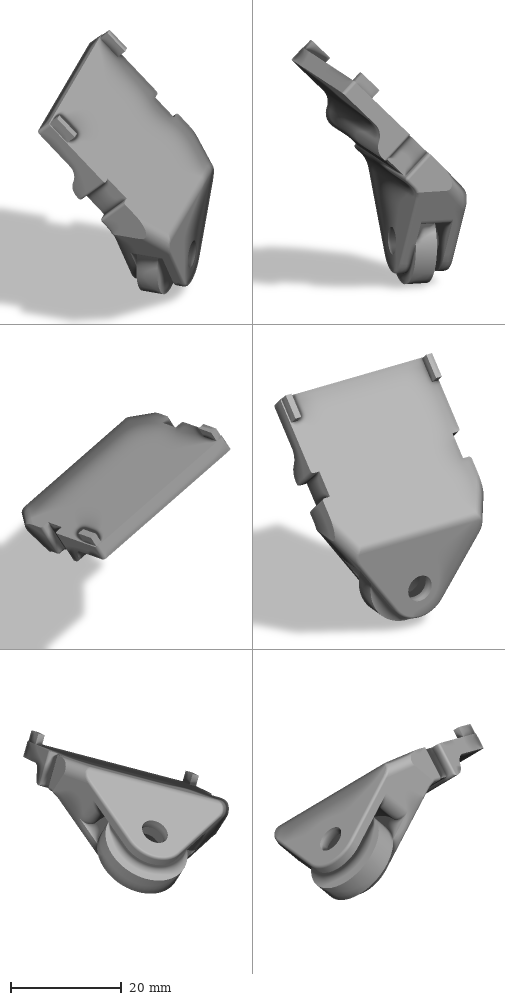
import cadquery as cq
import math


WIDTH = 31.75
DEPTH = 10.0
BEND_HEIGHT = 12.0
LEAF_THICKNESS = 3.0
ROOT_THICKNESS = 6.5
LEAF_TIP_X = -14.2
SWELL_START = 8.65
SWELL_RADIUS = 3.0
BEND_RADIUS = 3.0
EDGE_RADIUS = 2.0
RIM_RADIUS = 0.5
TIP_CORNER_RADIUS = 0.6

GROOVE_START = 15.05
GROOVE_LENGTH = 5.0
GROOVE_SIDE_DEPTH = 1.65
GROOVE_UNDER_DEPTH = 0.55

TAB_START = 0.2
TAB_LENGTH = 4.68
TAB_WIDTH = 1.25
TAB_HEIGHT = 2.0
TAB_INSET = 0.25

FORK_TIP_RADIUS = 6.0
CHEEK_THICKNESS = 2.0
SLOT_RADIUS = 10.0
SLOT_LIP_RADIUS = 2.0
BORE_DIAMETER = 5.0
WHEEL_DIAMETER = 16.0
WHEEL_THICKNESS = 4.0

HALF_WIDTH = WIDTH / 2
WIDE_HALF_WIDTH = HALF_WIDTH + 6.38
SLOPE = math.sqrt(0.5)
TOP_SUM = BEND_HEIGHT + ROOT_THICKNESS / SLOPE
TIP_TOP_X = LEAF_TIP_X + LEAF_THICKNESS * SLOPE
TIP_TOP_Z = TOP_SUM - TIP_TOP_X
BAND_SIZE = 127.55
TOLERANCE = 0.005
CLEARANCE = 0.43


def on_leaf(along, under):
    """XZ point at a distance down the slope from the tip and below the upper face."""
    return (TIP_TOP_X + (along - under) * SLOPE, TIP_TOP_Z - (along + under) * SLOPE)


def prism(outline, y_start, y_end):
    """Extrude a closed XZ outline between two Y positions."""
    return outline.close().extrude(y_start - y_end).translate((0, y_start, 0))


def leaf_block(start, length, top, bottom, y_start, y_end):
    """Box aligned with the sloping leaf."""
    corners = [on_leaf(start, top), on_leaf(start + length, top),
               on_leaf(start + length, bottom), on_leaf(start, bottom)]
    return prism(cq.Workplane("XZ").polyline(corners), y_start, y_end)


def side_profile():
    """Bracket side shape: thin leaf, S-shaped swelling, bend and vertical fork."""
    half_rise = (ROOT_THICKNESS - LEAF_THICKNESS) / 2
    sweep = math.acos(1 - half_rise / SWELL_RADIUS)
    half_run = SWELL_RADIUS * math.sin(sweep)
    mid_run = SWELL_RADIUS * math.sin(sweep / 2)
    mid_rise = SWELL_RADIUS * (1 - math.cos(sweep / 2))
    swell_end = SWELL_START + 2 * half_run
    outline = (
        cq.Workplane("XZ")
        .moveTo(*on_leaf(0, 0))
        .lineTo(*on_leaf(0, LEAF_THICKNESS))
        .lineTo(*on_leaf(SWELL_START, LEAF_THICKNESS))
        .threePointArc(on_leaf(SWELL_START + mid_run, LEAF_THICKNESS + mid_rise),
                       on_leaf(SWELL_START + half_run, LEAF_THICKNESS + half_rise))
        .threePointArc(on_leaf(swell_end - mid_run, ROOT_THICKNESS - mid_rise),
                       on_leaf(swell_end, ROOT_THICKNESS))
        .lineTo(0, BEND_HEIGHT)
        .lineTo(0, -FORK_TIP_RADIUS)
        .lineTo(DEPTH, -FORK_TIP_RADIUS)
        .lineTo(DEPTH, TOP_SUM - DEPTH)
    )
    return prism(outline, -WIDE_HALF_WIDTH, WIDE_HALF_WIDTH)


def taper_angle():
    """Angle from the Y axis to the outward normal of the taper; negative as it faces down."""
    reach = math.hypot(HALF_WIDTH, BEND_HEIGHT)
    return math.atan2(BEND_HEIGHT, HALF_WIDTH) - math.acos(FORK_TIP_RADIUS / reach)


def taper_y(z):
    """Half width of the tapering fork at a height."""
    return HALF_WIDTH + min(0, z - BEND_HEIGHT) * -math.tan(taper_angle())


def taper_z(y):
    """Height at which the extended taper reaches a half width."""
    return BEND_HEIGHT + (y - HALF_WIDTH) / -math.tan(taper_angle())


def leaf_position(point):
    """Distances of a point down the slope from the tip and below the upper face."""
    across = point.x - TIP_TOP_X
    drop = TIP_TOP_Z - point.z
    return (across + drop) * SLOPE, (drop - across) * SLOPE


def fork_outline():
    """Over-wide outline in YZ, tapering along tangents to the rounded fork tip."""
    tangent_y = FORK_TIP_RADIUS * math.cos(taper_angle())
    tangent_z = FORK_TIP_RADIUS * math.sin(taper_angle())
    top = TIP_TOP_Z + CLEARANCE
    wide_z = taper_z(WIDE_HALF_WIDTH)
    return (
        cq.Workplane("YZ", origin=(LEAF_TIP_X - CLEARANCE, 0, 0))
        .moveTo(-WIDE_HALF_WIDTH, top)
        .lineTo(-WIDE_HALF_WIDTH, wide_z)
        .lineTo(-tangent_y, tangent_z)
        .threePointArc((0, -FORK_TIP_RADIUS), (tangent_y, tangent_z))
        .lineTo(WIDE_HALF_WIDTH, wide_z)
        .lineTo(WIDE_HALF_WIDTH, top)
        .close()
        .extrude(DEPTH - LEAF_TIP_X + 2 * CLEARANCE)
    )


def nearest_edge(body, point):
    """Edge of the body whose middle is closest to the given point."""
    target = cq.Vector(*point)
    return min(body.edges().vals(), key=lambda edge: (edge.positionAt(0.5) - target).Length)


def groove_cutter():
    """Groove around the underside and both sides of the leaf."""
    cutter = leaf_block(GROOVE_START, GROOVE_LENGTH, ROOT_THICKNESS - GROOVE_UNDER_DEPTH,
                        ROOT_THICKNESS + CLEARANCE, -HALF_WIDTH, HALF_WIDTH)
    for side in (-1, 1):
        inner = side * (HALF_WIDTH - GROOVE_SIDE_DEPTH)
        outer = side * (HALF_WIDTH + CLEARANCE)
        notch = leaf_block(GROOVE_START, GROOVE_LENGTH, -CLEARANCE, ROOT_THICKNESS + CLEARANCE,
                           min(inner, outer), max(inner, outer))
        cutter = cutter.union(notch)
    return cutter


def wheel_slot():
    """Round wheel clearance that flares out over rounded lips on the tapering sides."""
    slot_width = DEPTH - 2 * CHEEK_THICKNESS
    angle = taper_angle()
    lip_offset = FORK_TIP_RADIUS - SLOT_LIP_RADIUS
    lip_reach = SLOT_RADIUS + SLOT_LIP_RADIUS
    lip_angle = angle + math.acos(lip_offset / lip_reach)
    lip_y = lip_reach * math.cos(lip_angle)
    lip_z = lip_reach * math.sin(lip_angle)
    touch_y = SLOT_RADIUS * math.cos(lip_angle)
    touch_z = SLOT_RADIUS * math.sin(lip_angle)
    side_y = lip_y + SLOT_LIP_RADIUS * math.cos(angle)
    side_z = lip_z + SLOT_LIP_RADIUS * math.sin(angle)
    middle = (lip_angle + angle + 3 * math.pi) / 2
    low_y = lip_y + SLOT_LIP_RADIUS * math.cos(middle)
    low_z = lip_z + SLOT_LIP_RADIUS * math.sin(middle)
    floor = -FORK_TIP_RADIUS - CLEARANCE
    return (
        cq.Workplane("YZ", origin=(CHEEK_THICKNESS, 0, 0))
        .moveTo(-side_y, floor)
        .lineTo(-side_y, side_z)
        .threePointArc((-low_y, low_z), (-touch_y, touch_z))
        .threePointArc((0, SLOT_RADIUS), (touch_y, touch_z))
        .threePointArc((low_y, low_z), (side_y, side_z))
        .lineTo(side_y, floor)
        .close()
        .extrude(slot_width)
    )


def bore(start, length):
    """Cylinder along the wheel axis for the axle hole."""
    return (cq.Workplane("YZ", origin=(start, 0, 0))
            .circle(BORE_DIAMETER / 2).extrude(length))


def blank():
    """Tapered leaf and fork with the bends and upper edges rounded, trimmed to width."""
    body = side_profile().intersect(fork_outline())
    body = body.newObject([nearest_edge(body, (0, 0, BEND_HEIGHT))]).fillet(BEND_RADIUS)

    back_z = TOP_SUM - DEPTH
    back_y = taper_y(back_z)
    wide_z = taper_z(WIDE_HALF_WIDTH)
    upper_edges = [nearest_edge(body, (DEPTH, 0, back_z))]
    for side in (-1, 1):
        middle = ((DEPTH + TOP_SUM - wide_z) / 2, side * (back_y + WIDE_HALF_WIDTH) / 2,
                  (back_z + wide_z) / 2)
        upper_edges.append(nearest_edge(body, middle))
    body = body.newObject(upper_edges).fillet(EDGE_RADIUS)
    return body.intersect(leaf_band())


def leaf_band():
    """Slab that limits the bracket to its full width."""
    return cq.Workplane("XY").box(BAND_SIZE, WIDTH, BAND_SIZE)


def is_rim(edge):
    """True for the outline edges of the fork faces, the lower leaf and the groove."""
    middle = edge.positionAt(0.5)
    along, under = leaf_position(middle)
    on_outline = abs(middle.y) > taper_y(middle.z) - TOLERANCE or middle.z < -TOLERANCE
    on_side = abs(middle.y) > HALF_WIDTH - TOLERANCE
    on_fork_face = min(abs(middle.x), abs(middle.x - DEPTH)) < TOLERANCE
    groove_end = GROOVE_START + GROOVE_LENGTH
    at_wall = min(abs(along - GROOVE_START), abs(along - groove_end)) < TOLERANCE
    on_underside = abs(under - ROOT_THICKNESS) < TOLERANCE
    below_groove = along > groove_end + TOLERANCE
    in_bend = -BEND_RADIUS / 2 < middle.x < 0 and abs(middle.z - BEND_HEIGHT) < BEND_RADIUS / 2
    return (
        (on_fork_face and on_outline)
        or (at_wall and (on_side or on_underside))
        or (on_side and on_underside and below_groove)
        or (in_bend and on_outline and edge.geomType() != "LINE")
    )


def bracket():
    """Finished bracket with its groove, rounded rims, wheel slot, axle hole and tabs."""
    body = blank().cut(groove_cutter())
    rims = [edge for edge in body.edges().vals() if is_rim(edge)]
    body = body.newObject(rims).fillet(RIM_RADIUS)
    tip_x, tip_z = on_leaf(0, LEAF_THICKNESS / 2)
    tip_corners = [nearest_edge(body, (tip_x, side * HALF_WIDTH, tip_z)) for side in (-1, 1)]
    body = body.newObject(tip_corners).fillet(TIP_CORNER_RADIUS)
    body = body.cut(wheel_slot()).cut(bore(0, DEPTH))
    for side in (-1, 1):
        body = body.union(tab(side))
    return body


def tab(side):
    """Block standing on the upper face near one corner of the leaf tip."""
    outer = HALF_WIDTH - TAB_INSET
    inner = outer - TAB_WIDTH
    block = leaf_block(TAB_START, TAB_LENGTH, -TAB_HEIGHT, LEAF_THICKNESS / 2, inner, outer)
    return block if side > 0 else block.mirror("XZ")


def wheel():
    """Wheel against the inside of the front cheek, bored for the axle."""
    disc = (cq.Workplane("YZ", origin=(CHEEK_THICKNESS, 0, 0))
            .circle(WHEEL_DIAMETER / 2).extrude(WHEEL_THICKNESS))
    return disc.cut(bore(CHEEK_THICKNESS, WHEEL_THICKNESS))


result = cq.Compound.makeCompound([bracket().val(), wheel().val()])